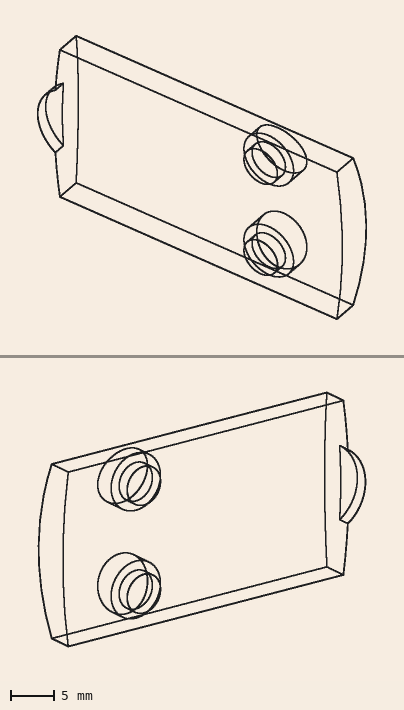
import cadquery as cq

length = 43.35
height = 21.6
thickness = 4.75
edge_thickness = 3.25
end_bulge = 0.8

tab_projection = 2.4
tab_thickness = 1.6
tab_radius = 5.4

hole_x = 31.75
hole_spacing = 13.35
hole_diameter = 4.75
counterbore_diameter = 7.05
counterbore_floor = 1.6

half_height = height / 2
left_corner_x = tab_projection + end_bulge
right_corner_x = length - end_bulge


def extrude_back(sketch, depth):
    """Extrude an XZ sketch from the flat front face toward +Y."""
    return sketch.extrude(-depth)


def make_plate():
    """Plate with bowed ends, its back domed across the height."""
    outline = (
        cq.Workplane("XZ")
        .moveTo(left_corner_x, -half_height)
        .lineTo(right_corner_x, -half_height)
        .threePointArc((length, 0), (right_corner_x, half_height))
        .lineTo(left_corner_x, half_height)
        .threePointArc((tab_projection, 0), (left_corner_x, -half_height))
        .close()
    )
    domed_bar = (
        cq.Workplane("YZ")
        .moveTo(0, -half_height)
        .lineTo(edge_thickness, -half_height)
        .threePointArc((thickness, 0), (edge_thickness, half_height))
        .lineTo(0, half_height)
        .close()
        .extrude(length)
    )
    return extrude_back(outline, thickness).intersect(domed_bar)


def make_tab():
    """Disc flush with the front face; most of it lies inside the plate."""
    disc = cq.Workplane("XZ").center(tab_radius, 0).circle(tab_radius)
    return extrude_back(disc, tab_thickness)


def make_hole_cutter(z):
    """Through hole with a wider bore open to the back."""
    through = cq.Workplane("XZ").center(hole_x, z).circle(hole_diameter / 2)
    bore = (
        cq.Workplane("XZ", origin=(0, counterbore_floor, 0))
        .center(hole_x, z)
        .circle(counterbore_diameter / 2)
    )
    return extrude_back(through, thickness).union(extrude_back(bore, thickness))


result = make_plate().union(make_tab())
for side in (-1, 1):
    result = result.cut(make_hole_cutter(side * hole_spacing / 2))